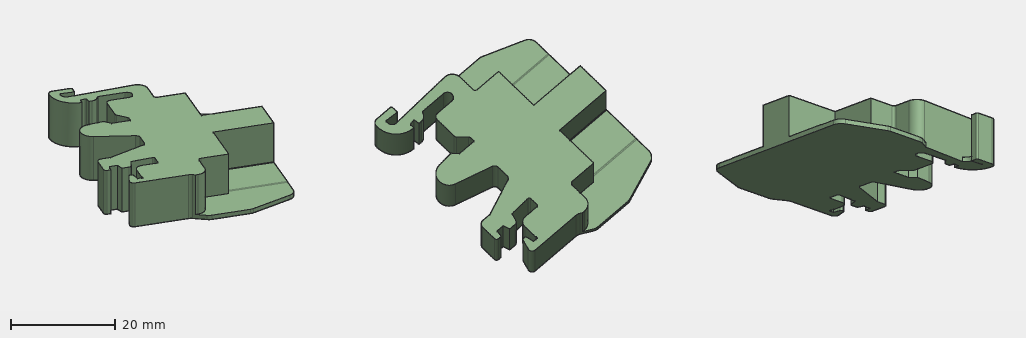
import cadquery as cq
import math


height = 9.5
plate_thickness = 0.95
band_rise = 0.065

top_y = 37.3
upper_shoulder_y = 25.02
upper_shoulder_x = 13.33
lower_shoulder_y = 18.8
right_shoulder_x = 19.55
left_shoulder_x = -19.65
shoulder_round = 2.05
shoulder_inner_round = 0.6
tongue_left_x = -3.45
tongue_right_x = 3.75

plate_half_width = 20.83
plate_top_half_width = 17.15
plate_side_top_y = 27.3
plate_side_bottom_y = 18.7
plate_top_round = 2.0
plate_side_round = 1.93

band_outer_x = 12.43
band_outer_run = 0.25
band_inner_x = 3.95

latch_wall_x = 19.05
latch_wall_top_y = 15.4
latch_wall_top_round = 1.7
latch_bottom_y = 3.1
latch_bottom_round = 0.85
latch_tip_x = 15.7
latch_tip_bottom_y = 4.03
latch_tip_top_y = 4.85
latch_tip_round = 0.35
latch_inner_x = 17.5
latch_inner_bottom_y = 5.23
relief_width = 0.35
relief_depth = 0.13

block_left_x = 12.6
block_bottom_y = 6.15
block_round = 1.45

roof_y = 11.05
gap_round = 0.35
gap_left_x = 10.1
foot_neck_x = 10.4
foot_neck_y = 6.25
foot_right_x = 12.45
foot_head_y = 5.6
foot_head_round = 0.65
groove_x = 11.1
groove_outer_top_y = 3.7
groove_inner_top_y = 3.25
groove_inner_bottom_y = 1.63
groove_outer_bottom_y = 1.45
foot_bottom_y = 0.15
foot_right_round = 0.55
foot_left_round = 1.03
foot_left_x = 7.6
foot_left_top_y = 3.05

opening_right_x = 4.45
opening_left_x = 0.7
opening_right_round = 0.7
opening_left_round = 0.95

nose_x = -4.1
nose_y = 3.35
nose_radius = 2.55
finger_left_x = -7.0
finger_left_y = 6.45
finger_neck_x = -5.8
finger_neck_y = 7.63

recess_roof_y = 11.5
recess_left_x = -6.95
recess_left_round = 0.65
left_block_bottom_y = 9.43
left_block_right_x = -8.9
left_block_round = 0.95
left_block_slope_round = 0.65

slot_right_x = -14.9
slot_left_x = -17.15
slot_top_y = 15.2
slot_end_radius = (slot_right_x - slot_left_x) / 2

catch_top_y = 8.6
catch_x = -15.75
catch_shoulder_y = 7.7
catch_round = 1.3
catch_bottom_y = 6.35
notch_top_x = -17.0
notch_top_y = 6.15
notch_bottom_x = -16.75
notch_round = 0.15
hook_top_y = 4.95
hook_left_x = -22.02
hook_outer_round = hook_top_y
hook_corner_round = 1.03
hook_edge_round = 0.35
hook_slot_edge_round = 0.13
hook_slot_floor_y = 2.05
hook_slot_top_x = -20.35
hook_slot_left_x = -20.53
hook_slot_right_x = -18.75
hook_slot_round = 1.03

web_top_y = 6.55
web_bottom_y = 1.7
web_middle_x = -19.3
web_middle_y = 5.53


def rounded_prism(corners, depth):
    """Prism of a closed outline; each corner is (x, y) or (x, y, rounding radius)."""
    outline = None
    for index, corner in enumerate(corners):
        here = cq.Vector(corner[0], corner[1])
        radius = corner[2] if len(corner) > 2 else 0
        before = cq.Vector(*corners[index - 1][:2])
        after = cq.Vector(*corners[(index + 1) % len(corners)][:2])
        to_before = (before - here).normalized()
        to_after = (after - here).normalized()
        half_angle = to_before.getAngle(to_after) / 2
        setback = radius / math.tan(half_angle)
        start = here + to_before * setback
        end = here + to_after * setback
        if outline is None:
            outline = cq.Workplane("XY").moveTo(start.x, start.y)
            last = start
        elif (start - last).Length > 4.29e-07:
            outline = outline.lineTo(start.x, start.y)
        if radius:
            bisector = (to_before + to_after).normalized()
            middle = here + bisector * (radius / math.sin(half_angle) - radius)
            outline = outline.threePointArc((middle.x, middle.y), (end.x, end.y))
        last = end
    return outline.close().extrude(depth)


def mirrored(corners):
    """The same corners reflected in X = 0, in reverse order."""
    return [(-x, *rest) for x, *rest in reversed(corners)]


def nose_tangent(side, corner):
    """Point where the finger side through a corner touches the nose; side is -1 (left) or 1 (right)."""
    across = side * (corner[0] - nose_x)
    up = corner[1] - nose_y
    taper = math.atan2(across, up) - math.asin(nose_radius / math.hypot(across, up))
    return (
        nose_x + side * nose_radius * math.cos(taper),
        nose_y - nose_radius * math.sin(taper),
    )


def make_body():
    right_shoulder = [
        (upper_shoulder_x, upper_shoulder_y),
        (upper_shoulder_x, lower_shoulder_y, shoulder_inner_round),
        (right_shoulder_x, lower_shoulder_y, shoulder_round),
    ]
    left_shoulder = [
        (left_shoulder_x, lower_shoulder_y, shoulder_round),
        (-upper_shoulder_x, lower_shoulder_y, shoulder_inner_round),
        (-upper_shoulder_x, upper_shoulder_y),
    ]
    tongue = [
        (tongue_left_x, upper_shoulder_y),
        (tongue_left_x, top_y),
        (tongue_right_x, top_y),
        (tongue_right_x, upper_shoulder_y),
    ]
    slope = (plate_half_width - latch_wall_x) / (plate_side_bottom_y - latch_wall_top_y)
    slope_top_y = latch_wall_top_y + (right_shoulder_x - latch_wall_x) / slope
    latch = [
        (right_shoulder_x, slope_top_y),
        (latch_wall_x, latch_wall_top_y, latch_wall_top_round),
        (latch_wall_x, latch_bottom_y, latch_bottom_round),
        (latch_tip_x, latch_tip_bottom_y, latch_tip_round),
        (latch_tip_x, latch_tip_top_y, latch_tip_round),
        (latch_inner_x, latch_inner_bottom_y),
        (latch_inner_x, block_bottom_y + relief_depth),
        (latch_inner_x - relief_width, block_bottom_y + relief_depth),
        (latch_inner_x - relief_width, block_bottom_y),
        (block_left_x, block_bottom_y, block_round),
        (block_left_x, roof_y, gap_round),
    ]
    foot = [
        (gap_left_x, roof_y, gap_round),
        (foot_neck_x, foot_neck_y),
        (foot_right_x, foot_head_y, foot_head_round),
        (foot_right_x, groove_outer_top_y),
        (groove_x, groove_inner_top_y),
        (groove_x, groove_inner_bottom_y),
        (foot_right_x, groove_outer_bottom_y),
        (foot_right_x, foot_bottom_y, foot_right_round),
        (foot_left_x, foot_bottom_y, foot_left_round),
        (foot_left_x, foot_left_top_y),
        (opening_right_x, roof_y, opening_right_round),
        (opening_left_x, roof_y, opening_left_round),
    ]
    finger = [
        nose_tangent(1, (opening_left_x, roof_y)),
        nose_tangent(-1, (finger_left_x, finger_left_y)),
        (finger_left_x, finger_left_y),
        (finger_neck_x, finger_neck_y),
        (finger_neck_x, recess_roof_y),
    ]
    left_block = [
        (recess_left_x, recess_roof_y, recess_left_round),
        (left_block_right_x, left_block_bottom_y, left_block_slope_round),
        (slot_right_x, left_block_bottom_y, left_block_round),
        (slot_right_x, slot_top_y, slot_end_radius),
        (slot_left_x, slot_top_y, slot_end_radius),
    ]
    clip = [
        (slot_left_x, catch_top_y),
        (catch_x, catch_shoulder_y, catch_round),
        (catch_x, catch_bottom_y),
        (notch_top_x, notch_top_y, notch_round),
        (notch_bottom_x, hook_top_y),
        (catch_x, hook_top_y),
        (catch_x, 0, hook_outer_round),
        (hook_left_x, 0, hook_corner_round),
        (hook_left_x, hook_top_y, hook_edge_round),
        (hook_slot_top_x, hook_top_y),
        (hook_slot_left_x, hook_slot_floor_y, hook_slot_edge_round),
        (hook_slot_right_x, hook_slot_floor_y, hook_slot_round),
    ]
    outline = tongue + right_shoulder + latch + foot + finger + left_block + clip + left_shoulder
    nose = cq.Workplane("XY").center(nose_x, nose_y).circle(nose_radius).extrude(height)
    return rounded_prism(outline, height).union(nose)


def make_plate():
    right_side = [
        (plate_top_half_width, top_y, plate_top_round),
        (plate_half_width, plate_side_top_y, plate_side_round),
        (plate_half_width, plate_side_bottom_y, plate_side_round),
        (latch_wall_x, latch_wall_top_y),
    ]
    return rounded_prism(right_side + mirrored(right_side), plate_thickness)


def make_band():
    """Slightly raised band across the plate, rising once more beside the tongue."""
    band_z = plate_thickness + band_rise
    tongue_foot_z = band_z + band_rise
    profile = [
        (-band_outer_x, 0),
        (-band_outer_x, plate_thickness),
        (-band_outer_x + band_outer_run, band_z),
        (-band_inner_x, band_z),
        (tongue_left_x, tongue_foot_z),
        (tongue_right_x, tongue_foot_z),
        (band_inner_x, band_z),
        (band_outer_x - band_outer_run, band_z),
        (band_outer_x, plate_thickness),
        (band_outer_x, 0),
    ]
    band_length = top_y - lower_shoulder_y
    return cq.Workplane("XZ", origin=(0, top_y, 0)).polyline(profile).close().extrude(band_length)


def make_hook_web():
    return (
        cq.Workplane("XY")
        .moveTo(hook_slot_top_x, hook_top_y)
        .threePointArc((web_middle_x, web_middle_y), (hook_slot_right_x, web_top_y))
        .lineTo(hook_slot_right_x, web_bottom_y)
        .lineTo(hook_slot_left_x, web_bottom_y)
        .close()
        .extrude(plate_thickness)
    )


result = make_body().union(make_plate()).union(make_band()).union(make_hook_web())